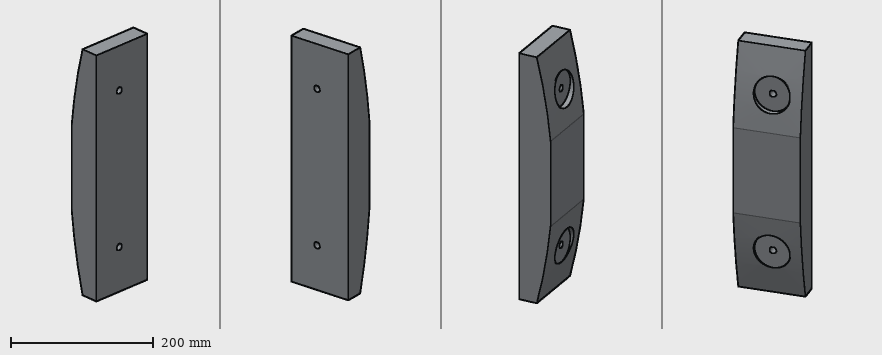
import cadquery as cq

thickness = 50.0
width = 100.0
length = 384.0

flat_length = 133.0
end_thickness = 28.0
bulge_thickness = 41.5

hole_diameter = 10.0
counterbore_diameter = 54.0
floor_thickness = 37.5
hole_spacing = 244.2
hole_offset = -5.0

back_x = thickness / 2
front_x = -thickness / 2
end_x = back_x - end_thickness
bulge_x = back_x - bulge_thickness
half_length = length / 2
half_flat = flat_length / 2
bulge_z = (half_length + half_flat) / 2


def curved_block():
    """Side outline in XZ, extruded across the width."""
    return (
        cq.Workplane("XZ")
        .moveTo(back_x, -half_length)
        .lineTo(back_x, half_length)
        .lineTo(end_x, half_length)
        .threePointArc((bulge_x, bulge_z), (front_x, half_flat))
        .lineTo(front_x, -half_flat)
        .threePointArc((bulge_x, -bulge_z), (end_x, -half_length))
        .close()
        .extrude(width / 2, both=True)
    )


def counterbored_hole(z):
    """Cutter: through hole with a flat-bottomed counterbore open to -X."""
    face = cq.Workplane("YZ", origin=(front_x, hole_offset, z))
    through_hole = face.circle(hole_diameter / 2).extrude(thickness)
    counterbore = face.circle(counterbore_diameter / 2).extrude(thickness - floor_thickness)
    return through_hole.union(counterbore)


result = curved_block()
for z in (-hole_spacing / 2, hole_spacing / 2):
    result = result.cut(counterbored_hole(z))